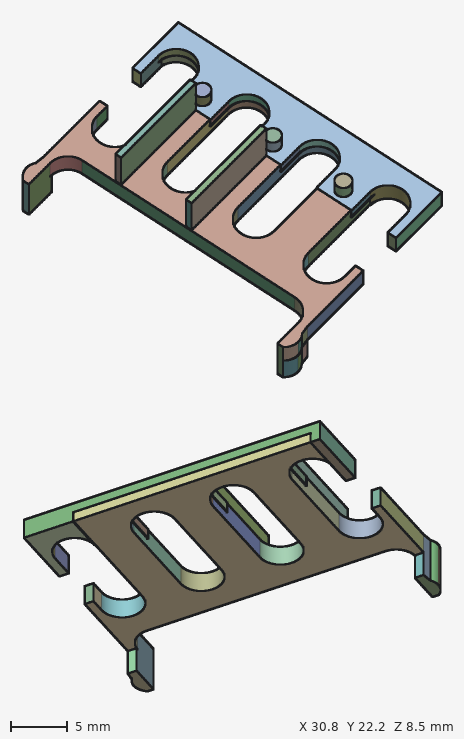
import cadquery as cq

PLATE_WIDTH = 29.9
PLATE_DEPTH = 17.2
PLATE_THICKNESS = 2.0
HALF_WIDTH = PLATE_WIDTH / 2
LAP_HEIGHT = PLATE_THICKNESS / 2

SLOT_PITCH = 8.0
SLOT_CENTERS = [(index - 1.5) * SLOT_PITCH for index in range(4)]
RIB_CENTERS = [(index - 1) * SLOT_PITCH for index in range(3)]
FRONT_SLOT_WIDTH = 4.12
REAR_SLOT_WIDTH = 4.0
SLOT_FRONT_Y = 2.52
SLOT_REAR_Y = 15.22

JOINT_Y = 10.6
REAR_ARM_TIP_Y = 10.7
FRONT_ARM_TIP_Y = 6.1

TONGUE_LEFT = SLOT_CENTERS[0] - REAR_SLOT_WIDTH / 2
TONGUE_RIGHT = SLOT_CENTERS[3] - FRONT_SLOT_WIDTH / 2
POCKET_RIGHT = SLOT_CENTERS[3] - REAR_SLOT_WIDTH / 2

FIN_THICKNESS = 0.65
FIN_HEIGHT = 4.0
FIN_FRONT_Y = 0.05
PIN_DIAMETER = 1.6
PIN_Y = 11.93
PIN_HEIGHT = 1.32

CLIP_THICKNESS = 0.9
CLIP_FILLET = 2.0
CLIP_DROP = 2.5
CLIP_LENGTH = 5.0
LEG_START_Y = -1.78
BULGE_START_Y = -2.8
BULGE_APEX_Y = -3.7
NECK_FLARE = 0.12
BULGE_HEIGHT = 0.43
BULGE_TIP_INSET = 0.25
RIGHT_CLIP_SHORTENING = 0.1
RIGHT_LEG_SETBACK = 0.03


def box(x_min, x_max, y_min, y_max, z_min, z_max):
    size = (x_max - x_min, y_max - y_min, z_max - z_min)
    return cq.Workplane("XY").box(*size, centered=False).translate((x_min, y_min, z_min))


def slots(width):
    """Four round-ended cutters through the plate."""
    return (
        cq.Workplane("XY")
        .pushPoints([(x, (SLOT_FRONT_Y + SLOT_REAR_Y) / 2) for x in SLOT_CENTERS])
        .slot2D(SLOT_REAR_Y - SLOT_FRONT_Y, width, 90)
        .extrude(PLATE_THICKNESS)
    )


def edge_gap(side, y_min, y_max):
    """Cutter that opens an outer slot through the side edge (-1 left, 1 right)."""
    inner = side * SLOT_CENTERS[3]
    outer = side * HALF_WIDTH
    return box(min(inner, outer), max(inner, outer), y_min, y_max, 0, PLATE_THICKNESS)


def arc_middle(apex, other):
    """Point halfway in Y on the arc that leaves the apex along Y and ends at the other point."""
    drop = apex[0] - other[0]
    rise = other[1] - apex[1]
    radius = (drop**2 + rise**2) / (2 * drop)
    half_rise = rise / 2
    return apex[0] - radius + (radius**2 - half_rise**2) ** 0.5, apex[1] + half_rise


def clip_leg(height, shortening=0.0, setback=0.0):
    """Right-hand clip end from its root to its tip, rising from the foot of the leg."""
    bulge_start = (HALF_WIDTH + NECK_FLARE - setback, BULGE_START_Y + shortening)
    apex = (HALF_WIDTH + BULGE_HEIGHT - setback, BULGE_APEX_Y + shortening)
    tip = (HALF_WIDTH - BULGE_TIP_INSET - setback, -CLIP_LENGTH + shortening)
    inner_x = HALF_WIDTH - CLIP_THICKNESS
    return (
        cq.Workplane("XY", origin=(0, 0, -CLIP_DROP))
        .moveTo(inner_x, LEG_START_Y)
        .lineTo(HALF_WIDTH, LEG_START_Y)
        .lineTo(*bulge_start)
        .threePointArc(arc_middle(apex, bulge_start), apex)
        .threePointArc(arc_middle(apex, tip), tip)
        .lineTo(inner_x, tip[1])
        .close()
        .extrude(height)
    )


def clip_root():
    """Filleted right-hand corner that joins the clip to the plate."""
    inner_x = HALF_WIDTH - CLIP_THICKNESS
    bend = CLIP_FILLET * (1 - 0.5**0.5)
    return (
        cq.Workplane("XY")
        .moveTo(HALF_WIDTH, 0)
        .lineTo(inner_x - CLIP_FILLET, 0)
        .threePointArc((inner_x - bend, -bend), (inner_x, -CLIP_FILLET))
        .lineTo(HALF_WIDTH, -CLIP_FILLET)
        .close()
        .extrude(PLATE_THICKNESS)
    )


def make_front_frame():
    full_height = CLIP_DROP + PLATE_THICKNESS
    frame = box(-HALF_WIDTH, HALF_WIDTH, 0, JOINT_Y, 0, PLATE_THICKNESS)
    frame = frame.union(box(TONGUE_LEFT, TONGUE_RIGHT, JOINT_Y, PLATE_DEPTH, 0, LAP_HEIGHT))
    frame = frame.cut(slots(FRONT_SLOT_WIDTH))
    for side in (-1, 1):
        frame = frame.cut(edge_gap(side, FRONT_ARM_TIP_Y, JOINT_Y))
    for x in RIB_CENTERS[:2]:
        half = FIN_THICKNESS / 2
        fin_top = PLATE_THICKNESS + FIN_HEIGHT
        frame = frame.union(box(x - half, x + half, FIN_FRONT_Y, JOINT_Y, PLATE_THICKNESS, fin_top))
    frame = frame.union(clip_root()).union(clip_root().mirror("YZ"))
    frame = frame.union(clip_leg(full_height).mirror("YZ"))
    right_plate_level = clip_leg(full_height, RIGHT_CLIP_SHORTENING).intersect(
        box(0, PLATE_WIDTH, -CLIP_LENGTH, 0, 0, PLATE_THICKNESS)
    )
    right_lower_leg = clip_leg(CLIP_DROP, RIGHT_CLIP_SHORTENING, RIGHT_LEG_SETBACK)
    return frame.union(right_plate_level).union(right_lower_leg)


def make_rear_bar():
    bar = box(-HALF_WIDTH, HALF_WIDTH, JOINT_Y, PLATE_DEPTH, 0, PLATE_THICKNESS)
    bar = bar.cut(slots(REAR_SLOT_WIDTH))
    bar = bar.cut(box(TONGUE_LEFT, POCKET_RIGHT, JOINT_Y, PLATE_DEPTH, 0, LAP_HEIGHT))
    for side in (-1, 1):
        bar = bar.cut(edge_gap(side, JOINT_Y, REAR_ARM_TIP_Y))
    pins = (
        cq.Workplane("XY", origin=(0, 0, PLATE_THICKNESS))
        .pushPoints([(x, PIN_Y) for x in RIB_CENTERS])
        .circle(PIN_DIAMETER / 2)
        .extrude(PIN_HEIGHT)
    )
    return bar.union(pins)


front_frame = make_front_frame()
rear_bar = make_rear_bar()
result = cq.Compound.makeCompound([front_frame.solids().val(), rear_bar.solids().val()])